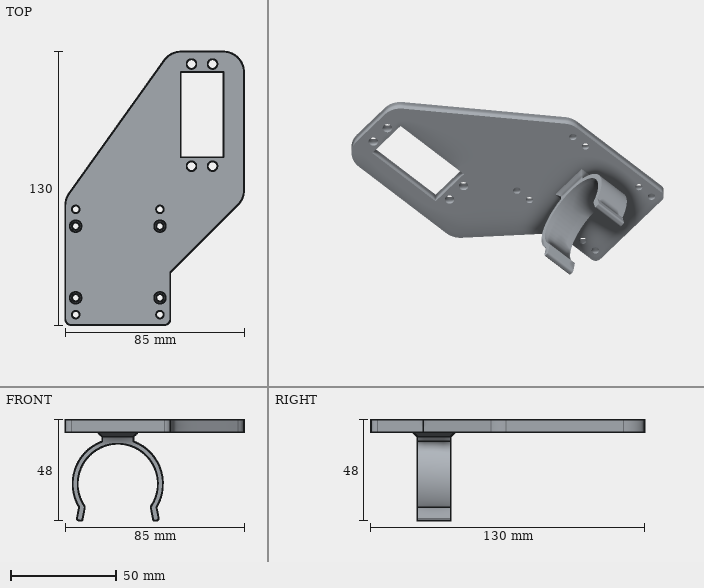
import cadquery as cq
import math

plate_thickness = 6.0
plate_width = 85.0
plate_length = 130.0
base_width = 50.0
base_side_height = 25.0
left_side_height = 60.0
top_edge_start = 50.0
base_corner_radius = 3.0
plate_corner_radius = 10.0

window_center = (65.0, 100.0)
window_hole_center = (65.0, 99.75)
window_width = 20.2
window_length = 40.3
window_hole_diameter = 4.5
window_hole_pitch = 10.0
window_hole_span = 48.5

base_center_y = 30.0

base_hole_pitch = 40.0
base_hole_span = 50.0
base_hole_center = (base_width / 2, base_center_y)
base_hole_diameter = 3.5
counterbored_hole_span = 34.0
counterbored_hole_diameter = 3.4
counterbore_diameter = 5.6
counterbore_depth = 3.5

clip_center_x = base_width / 2
clip_center_y = base_center_y
clip_width = 16.0
ring_inner_radius = 19.0
ring_thickness = 2.5
ring_outer_radius = ring_inner_radius + ring_thickness
ring_center_z = -30.45
ring_end_angle = math.radians(31)
clip_bottom_z = -48.03
leg_thickness = 2.8
leg_tilt = math.radians(11)
leg_tip_radius = 1.0
leg_bend_radius = 1.0

neck_width = 15.0
flare_height = 2.0
flare_spread = 2.0

selection_margin = 0.1


def edges_in_box(body, direction, low, high):
    """Edges along the given direction inside the box from low to high."""
    box = cq.selectors.BoxSelector(
        [value - selection_margin for value in low],
        [value + selection_margin for value in high],
    )
    return body.edges(direction).edges(box)


def round_corners(plate, low_y, high_y, radius):
    """Round the plate's vertical corners between two Y positions."""
    corners = edges_in_box(
        plate, "|Z", (0, low_y, -plate_thickness), (plate_width, high_y, 0)
    )
    return corners.fillet(radius)


def make_plate():
    right_side_start = base_side_height + plate_width - base_width
    plate = (
        cq.Workplane("XY")
        .moveTo(0, 0)
        .lineTo(base_width, 0)
        .lineTo(base_width, base_side_height)
        .lineTo(plate_width, right_side_start)
        .lineTo(plate_width, plate_length)
        .lineTo(top_edge_start, plate_length)
        .lineTo(0, left_side_height)
        .close()
        .extrude(-plate_thickness)
    )
    plate = round_corners(plate, 0, 0, base_corner_radius)
    return round_corners(plate, left_side_height, plate_length, plate_corner_radius)


def cut_window(plate):
    pattern = plate.faces(">Z").workplane(origin=(*window_center, 0))
    plate = pattern.rect(window_width, window_length).cutThruAll()
    pattern = plate.faces(">Z").workplane(origin=(*window_hole_center, 0))
    corners = pattern.rect(window_hole_pitch, window_hole_span, forConstruction=True).vertices()
    return corners.hole(window_hole_diameter)


def cut_base_holes(plate):
    pattern = plate.faces(">Z").workplane(origin=(*base_hole_center, 0))
    corners = pattern.rect(base_hole_pitch, base_hole_span, forConstruction=True).vertices()
    plate = corners.hole(base_hole_diameter)
    pattern = plate.faces(">Z").workplane(origin=(*base_hole_center, 0))
    corners = pattern.rect(base_hole_pitch, counterbored_hole_span, forConstruction=True).vertices()
    return corners.cboreHole(counterbored_hole_diameter, counterbore_diameter, counterbore_depth)


def clip_plane():
    """XZ plane at the clip's rear face, origin on the ring axis; extrusions run toward -Y."""
    return cq.Workplane(
        "XZ", origin=(clip_center_x, clip_center_y + clip_width / 2, ring_center_z)
    )


def inner_bend(side_x, side_z, along_x, along_z):
    """Where the leg's inner side, extended upward, meets the ring's inner circle."""
    projection = side_x * along_x + side_z * along_z
    excess = side_x ** 2 + side_z ** 2 - ring_inner_radius ** 2
    reach = -projection + math.sqrt(projection ** 2 - excess)
    return side_x + reach * along_x, side_z + reach * along_z


def make_clip():
    along_x = math.sin(leg_tilt)
    along_z = -math.cos(leg_tilt)
    across_x = leg_thickness * along_z
    across_z = -leg_thickness * along_x
    outer_x = ring_outer_radius * math.cos(ring_end_angle)
    outer_z = -ring_outer_radius * math.sin(ring_end_angle)
    inner_x, inner_z = inner_bend(outer_x + across_x, outer_z + across_z, along_x, along_z)

    tip_drop = ring_center_z + outer_z + across_z - clip_bottom_z
    leg_length = (tip_drop - leg_tip_radius) / math.cos(leg_tilt)
    leg_length += leg_tip_radius * (1 + math.tan(leg_tilt))
    tip_x = outer_x + leg_length * along_x
    tip_z = outer_z + leg_length * along_z

    clip = (
        clip_plane()
        .moveTo(outer_x, outer_z)
        .lineTo(tip_x, tip_z)
        .lineTo(tip_x + across_x, tip_z + across_z)
        .lineTo(inner_x, inner_z)
        .threePointArc((0, ring_inner_radius), (-inner_x, inner_z))
        .lineTo(-tip_x - across_x, tip_z + across_z)
        .lineTo(-tip_x, tip_z)
        .lineTo(-outer_x, outer_z)
        .threePointArc((0, ring_outer_radius), (outer_x, outer_z))
        .close()
        .extrude(clip_width)
    )
    tip_edges = edges_in_box(
        clip,
        "|Y",
        (0, 0, ring_center_z + tip_z + across_z),
        (plate_width, plate_length, ring_center_z + tip_z),
    )
    clip = tip_edges.fillet(leg_tip_radius)
    bend_z = ring_center_z + inner_z
    bend_edges = edges_in_box(
        clip,
        "|Y",
        (clip_center_x - inner_x, 0, bend_z),
        (clip_center_x + inner_x, plate_length, bend_z),
    )
    return bend_edges.fillet(leg_bend_radius)


def make_neck():
    """Block from the plate down to the ring axis, hollowed by the ring's inner circle."""
    neck_height = -plate_thickness - ring_center_z
    block = clip_plane().center(0, neck_height / 2).rect(neck_width, neck_height).extrude(clip_width)
    bore = clip_plane().circle(ring_inner_radius).extrude(clip_width)
    return block.cut(bore)


def make_flare():
    return (
        cq.Workplane("XY", origin=(clip_center_x, clip_center_y, -plate_thickness))
        .rect(neck_width + 2 * flare_spread, clip_width + 2 * flare_spread)
        .workplane(offset=-flare_height)
        .rect(neck_width, clip_width)
        .loft(ruled=True)
    )


plate = cut_base_holes(cut_window(make_plate()))
result = plate.union(make_flare()).union(make_neck()).union(make_clip())